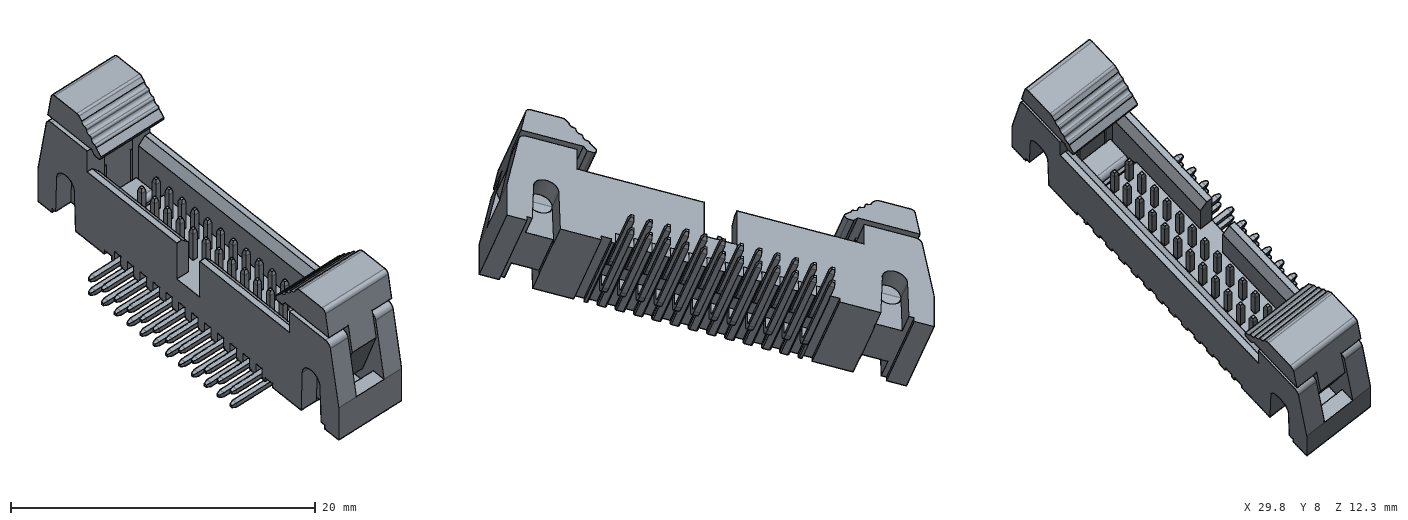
import cadquery as cq
import math

LENGTH = 29.75
DEPTH = 5.53
MID_Y = DEPTH / 2
WALL_HEIGHT = 6.35
TOWER_HEIGHT = 8.3
TOWER_INNER_X = 10.0
SIDE_STRAIGHT_HEIGHT = 3.0
SIDE_LEAN = 0.17
TOWER_CORNER_RADIUS = 0.5

CAVITY_WIDTH = 3.5
CAVITY_FLOOR = 3.03
CAVITY_CHAMFER = 0.57
KEY_WIDTH = 2.25

FOOT_HEIGHT = 0.35
END_NOTCH_OUTER_X = 13.47
END_NOTCH_INNER_X = 11.18
MID_NOTCH_OUTER_X = 8.3
MID_NOTCH_INNER_X = 7.58

PIT_START_X = 7.55
PIT_STEP_RUN = 0.2
PIT_STEP_DROP = 0.35
PIT_BOTTOM = 1.35
POCKET_WIDTH = 2.45
POCKET_STEP_X = 13.8

TOP = 11.03
PIVOT_X = 12.13
PIVOT_Z = 3.57
PIVOT_RADIUS = 1.75 / 2
RECESS_DEPTH = 1.35
RECESS_FOOT_WIDTH = 1.95
BOSS_BEVEL = 0.27
STEM_WIDTH = 2.1
STEM_SHOULDER_Z = 6.55
STEM_FOOT_X = 12.95
RIB_BOTTOM_Z = 5.85
RIB_TOP_Z = 6.75
RIB_LENGTH = 0.6
HEAD_BOTTOM = 8.77
HEAD_TOP_END_X = 10.88
HEAD_OUTER_RADIUS = 0.35
HEAD_INNER_RADIUS = 0.3
STEP_START_X = 10.53
STEP_SIZE = 0.48
STEP_COUNT = 3
STEP_NOSE_RADIUS = 0.18
STEP_VALLEY_RADIUS = STEP_SIZE - STEP_NOSE_RADIUS
HOOK_TIP_X = 8.62
HOOK_BOTTOM = 8.42
HOOK_HEEL_X = 9.55
HOOK_RADIUS = 0.27
EJECTOR_TIP_X = 8.05
EJECTOR_WIDTH = 3.12
EJECTOR_NOSE_RADIUS = 0.42
EJECTOR_TOP = 2.97
EJECTOR_ROOT_BOTTOM = 2.08

PIN_COUNT = 12
PITCH = 13.98 / (PIN_COUNT - 1)
PIN_WIDTH = 0.4
PIN_TIP_WIDTH = 0.2
PIN_TIP_LENGTH = 0.33
PIN_TOP = 5.77
LEAD_END_Y = -2.47
LEAD_DROP = 1.25
FRONT_ROW_Y = MID_Y - PITCH / 2
REAR_ROW_Y = MID_Y + PITCH / 2
FRONT_LEAD_Z = 0.2
REAR_LEAD_Z = PIN_WIDTH / 2 - LEAD_DROP
LEAD_BEND_RADIUS = 0.5

LEAD_SLOT_WIDTH = 0.62
LEAD_SLOT_HEIGHT = 0.4
LEAD_SLOT_MOUTH = 0.98
LEAD_SLOT_FLARE = 0.1


ARC_MIDDLE = 1 - math.sqrt(0.5)


def side_x(z):
    """Distance of the leaning end face from X = 0 at height z."""
    return LENGTH / 2 - (z - SIDE_STRAIGHT_HEIGHT) * SIDE_LEAN


def box(x0, x1, y0, y1, z0, z1):
    return cq.Workplane("XY").box(x1 - x0, y1 - y0, z1 - z0, centered=False).translate((x0, y0, z0))


def along_y(sketch, width):
    """Extrude an XZ sketch symmetrically about the middle of the depth."""
    return sketch.extrude(width / 2, both=True).translate((0, MID_Y, 0))


def xz_plane():
    return cq.Workplane("XZ")


def edge_near(x, z):
    """Selector for the edge along Y whose middle lies closest to the given X and Z."""
    return cq.selectors.NearestToPointSelector((x, MID_Y, z))


def both_ends(shape):
    """Join a shape with its mirror image about X = 0."""
    return shape.union(shape.mirror("YZ"))


def housing_block():
    tower_top_x = side_x(TOWER_HEIGHT)
    half = xz_plane().polyline([
        (0, 0),
        (LENGTH / 2, 0),
        (LENGTH / 2, SIDE_STRAIGHT_HEIGHT),
        (tower_top_x, TOWER_HEIGHT),
        (TOWER_INNER_X, TOWER_HEIGHT),
        (TOWER_INNER_X, WALL_HEIGHT),
        (0, WALL_HEIGHT),
    ]).close()
    half = along_y(half, DEPTH)
    return both_ends(half.edges(edge_near(tower_top_x, TOWER_HEIGHT)).fillet(TOWER_CORNER_RADIUS))


def cavity():
    """Mating cavity with a chamfered rim along the two long walls."""
    half_width = CAVITY_WIDTH / 2
    rim = half_width + CAVITY_CHAMFER
    profile = cq.Workplane("YZ").polyline([
        (-half_width, CAVITY_FLOOR),
        (half_width, CAVITY_FLOOR),
        (half_width, WALL_HEIGHT - CAVITY_CHAMFER),
        (rim, WALL_HEIGHT),
        (-rim, WALL_HEIGHT),
        (-half_width, WALL_HEIGHT - CAVITY_CHAMFER),
    ]).close()
    return profile.extrude(TOWER_INNER_X, both=True).translate((0, MID_Y, 0))


def key_window():
    return box(-KEY_WIDTH / 2, KEY_WIDTH / 2, 0, MID_Y, CAVITY_FLOOR, WALL_HEIGHT)


def ejector_pit():
    """Sunken end of the cavity floor, sloping down outwards."""
    pit = xz_plane().polyline([
        (PIT_START_X, CAVITY_FLOOR),
        (PIT_START_X + PIT_STEP_RUN, CAVITY_FLOOR - PIT_STEP_DROP),
        (TOWER_INNER_X, PIT_BOTTOM),
        (TOWER_INNER_X, CAVITY_FLOOR),
    ]).close()
    return along_y(pit, CAVITY_WIDTH)


def latch_pocket():
    """Slot that splits a tower into two cheeks; it is open at the top, outside and inside."""
    pocket = xz_plane().polyline([
        (TOWER_INNER_X, PIT_BOTTOM),
        (POCKET_STEP_X, PIT_BOTTOM),
        (POCKET_STEP_X, SIDE_STRAIGHT_HEIGHT),
        (LENGTH / 2, SIDE_STRAIGHT_HEIGHT),
        (LENGTH / 2, TOWER_HEIGHT),
        (TOWER_INNER_X, TOWER_HEIGHT),
    ]).close()
    return along_y(pocket, POCKET_WIDTH)


def pivot_recess():
    """Arched recess in the front cheek."""
    foot = RECESS_FOOT_WIDTH / 2
    return (
        xz_plane()
        .moveTo(PIVOT_X - foot, 0)
        .lineTo(PIVOT_X - PIVOT_RADIUS, PIVOT_Z)
        .threePointArc((PIVOT_X, PIVOT_Z + PIVOT_RADIUS), (PIVOT_X + PIVOT_RADIUS, PIVOT_Z))
        .lineTo(PIVOT_X + foot, 0)
        .close()
        .extrude(-RECESS_DEPTH)
    )


def pivot_bore():
    """Bore that joins the front and back recesses through the latch pocket."""
    bore = xz_plane().center(PIVOT_X, PIVOT_Z).circle(PIVOT_RADIUS)
    return along_y(bore, DEPTH - 2 * RECESS_DEPTH)


def bottom_notches():
    end_notch = box(END_NOTCH_INNER_X, END_NOTCH_OUTER_X, 0, DEPTH, 0, FOOT_HEIGHT)
    mid_notch = box(MID_NOTCH_INNER_X, MID_NOTCH_OUTER_X, 0, DEPTH, 0, FOOT_HEIGHT)
    return end_notch.union(mid_notch)


def lead_slot(x):
    """Groove for a lead across the bottom, with a ramped mouth and flared lower edges."""
    half = LEAD_SLOT_WIDTH / 2
    ramp = LEAD_SLOT_MOUTH - LEAD_SLOT_HEIGHT
    groove = cq.Workplane("YZ").polyline([
        (0, 0),
        (DEPTH, 0),
        (DEPTH, LEAD_SLOT_HEIGHT),
        (ramp, LEAD_SLOT_HEIGHT),
        (0, LEAD_SLOT_MOUTH),
    ]).close().extrude(half, both=True)
    flare = xz_plane().polyline([
        (-half - LEAD_SLOT_FLARE, 0),
        (half + LEAD_SLOT_FLARE, 0),
        (half, LEAD_SLOT_FLARE),
        (-half, LEAD_SLOT_FLARE),
    ]).close()
    return groove.union(along_y(flare, DEPTH)).translate((x, 0, 0))


def tapered_tip(origin, direction):
    """Four-sided tip that starts at origin and narrows along direction."""
    plane = cq.Plane(origin=origin, xDir=(1, 0, 0), normal=direction)
    tip = cq.Workplane(plane).rect(PIN_WIDTH, PIN_WIDTH).workplane(offset=PIN_TIP_LENGTH)
    return tip.rect(PIN_TIP_WIDTH, PIN_TIP_WIDTH).loft(combine=True)


def contact(row_y, lead_z, bend_radius):
    """Upright contact of one row that bends forwards into a horizontal lead, at X = 0."""
    upright_top = PIN_TOP - PIN_TIP_LENGTH
    lead_end = LEAD_END_Y + PIN_TIP_LENGTH
    corner = bend_radius * ARC_MIDDLE
    path = (
        cq.Workplane("YZ")
        .moveTo(row_y, upright_top)
        .lineTo(row_y, lead_z + bend_radius)
        .threePointArc((row_y - corner, lead_z + corner), (row_y - bend_radius, lead_z))
        .lineTo(lead_end, lead_z)
    )
    section = cq.Workplane("XY").workplane(offset=upright_top).center(0, row_y)
    bar = section.rect(PIN_WIDTH, PIN_WIDTH).sweep(path)
    top_tip = tapered_tip((0, row_y, upright_top), (0, 0, 1))
    lead_tip = tapered_tip((0, lead_end, lead_z), (0, -1, 0))
    return bar.union(top_tip).union(lead_tip)


def build_housing():
    body = housing_block().cut(cavity()).cut(key_window())
    back_recess = pivot_recess().mirror("XZ").translate((0, DEPTH, 0))
    openings = (ejector_pit(), latch_pocket(), pivot_recess(), back_recess, pivot_bore(), bottom_notches())
    for feature in openings:
        body = body.cut(both_ends(feature))
    front_contact = contact(FRONT_ROW_Y, FRONT_LEAD_Z, LEAD_BEND_RADIUS)
    rear_contact = contact(REAR_ROW_Y, REAR_LEAD_Z, LEAD_BEND_RADIUS)
    columns = [(i - (PIN_COUNT - 1) / 2) * PITCH for i in range(PIN_COUNT)]
    for x in columns:
        body = body.cut(lead_slot(x))
    for x in columns:
        body = body.union(front_contact.translate((x, 0, 0)))
        body = body.union(rear_contact.translate((x, 0, 0)))
    return body


def latch_head():
    """Full-depth grip with scalloped finger steps on its inner slope and a hook at its end."""
    steps_top_z = TOP - (HEAD_TOP_END_X - STEP_START_X)
    outline = (
        xz_plane()
        .moveTo(side_x(HEAD_BOTTOM), HEAD_BOTTOM)
        .lineTo(side_x(TOP), TOP)
        .lineTo(HEAD_TOP_END_X, TOP)
        .lineTo(STEP_START_X, steps_top_z)
    )
    valley_offset = STEP_VALLEY_RADIUS * ARC_MIDDLE
    nose_offset = STEP_NOSE_RADIUS * ARC_MIDDLE
    for step in range(STEP_COUNT):
        riser_x = STEP_START_X - step * STEP_SIZE
        tread_z = steps_top_z - STEP_VALLEY_RADIUS - step * STEP_SIZE
        tread_end_x = riser_x - STEP_VALLEY_RADIUS
        nose_x = riser_x - STEP_SIZE
        nose_z = tread_z - STEP_NOSE_RADIUS
        outline = (
            outline
            .threePointArc((riser_x - valley_offset, tread_z + valley_offset), (tread_end_x, tread_z))
            .threePointArc((nose_x + nose_offset, tread_z - nose_offset), (nose_x, nose_z))
        )
    tip_z = HOOK_BOTTOM + HOOK_RADIUS
    tip_offset = HOOK_RADIUS * ARC_MIDDLE
    outline = (
        outline
        .lineTo(HOOK_TIP_X, nose_z - (nose_x - HOOK_TIP_X))
        .lineTo(HOOK_TIP_X, tip_z)
        .threePointArc((HOOK_TIP_X + tip_offset, HOOK_BOTTOM + tip_offset),
                       (HOOK_TIP_X + HOOK_RADIUS, HOOK_BOTTOM))
        .lineTo(HOOK_HEEL_X - HOOK_RADIUS, HOOK_BOTTOM)
        .lineTo(HOOK_HEEL_X, HEAD_BOTTOM)
        .close()
    )
    head = along_y(outline, DEPTH)
    head = head.edges(edge_near(side_x(TOP), TOP)).fillet(HEAD_OUTER_RADIUS)
    return head.edges(edge_near(HEAD_TOP_END_X, TOP)).fillet(HEAD_INNER_RADIUS)


def latch_stem():
    """Plate from the head down past the pivot axis."""
    plate = xz_plane().polyline([
        (side_x(HEAD_BOTTOM), HEAD_BOTTOM),
        (side_x(STEM_SHOULDER_Z), STEM_SHOULDER_Z),
        (STEM_FOOT_X, PIVOT_Z - PIVOT_RADIUS),
        (TOWER_INNER_X, PIVOT_Z - PIVOT_RADIUS),
        (TOWER_INNER_X, HEAD_BOTTOM),
    ]).close()
    return along_y(plate, STEM_WIDTH)


def pivot_bosses():
    """Round bosses on both sides of the stem; the lower half of each end is bevelled."""
    span = DEPTH - 2 * RECESS_DEPTH
    bosses = along_y(xz_plane().center(PIVOT_X, PIVOT_Z).circle(PIVOT_RADIUS), span)
    bevel = cq.Workplane("YZ").polyline([
        (RECESS_DEPTH, PIVOT_Z),
        (RECESS_DEPTH, PIVOT_Z - PIVOT_RADIUS),
        (RECESS_DEPTH + BOSS_BEVEL, PIVOT_Z - PIVOT_RADIUS),
    ]).close().extrude(LENGTH / 2)
    back_bevel = bevel.mirror("XZ").translate((0, DEPTH, 0))
    return bosses.cut(bevel).cut(back_bevel)


def side_ribs():
    """Raised pads that guide the stem between the cheeks."""
    front = MID_Y - POCKET_WIDTH / 2
    back = MID_Y + POCKET_WIDTH / 2
    return box(TOWER_INNER_X, TOWER_INNER_X + RIB_LENGTH, front, back, RIB_BOTTOM_Z, RIB_TOP_Z)


def ejector():
    """Arm from the stem into the cavity, ending in a wide round-nosed foot."""
    nose_x = EJECTOR_TIP_X + EJECTOR_NOSE_RADIUS
    nose_offset = EJECTOR_NOSE_RADIUS * ARC_MIDDLE
    foot = (
        xz_plane()
        .moveTo(TOWER_INNER_X, EJECTOR_TOP)
        .lineTo(nose_x, EJECTOR_TOP)
        .threePointArc((EJECTOR_TIP_X + nose_offset, EJECTOR_TOP - nose_offset),
                       (EJECTOR_TIP_X, EJECTOR_TOP - EJECTOR_NOSE_RADIUS))
        .lineTo(TOWER_INNER_X, EJECTOR_ROOT_BOTTOM)
        .close()
    )
    arm_front = MID_Y - STEM_WIDTH / 2
    arm_back = MID_Y + STEM_WIDTH / 2
    arm = box(TOWER_INNER_X, PIVOT_X, arm_front, arm_back, EJECTOR_ROOT_BOTTOM, EJECTOR_TOP)
    return along_y(foot, EJECTOR_WIDTH).union(arm)


def build_latch():
    latch = latch_head()
    for feature in (latch_stem(), pivot_bosses(), side_ribs(), ejector()):
        latch = latch.union(feature)
    return latch


housing = build_housing()
right_latch = build_latch()
latches = [right_latch, right_latch.mirror("YZ")]

result = cq.Compound.makeCompound([housing.val(), *[latch.val() for latch in latches]])